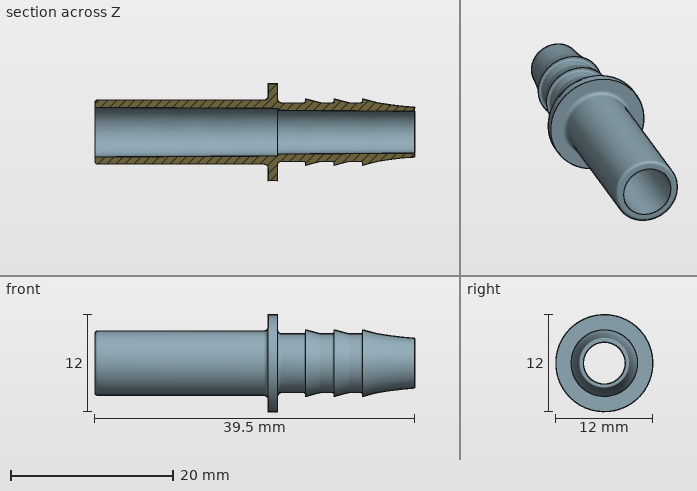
import cadquery as cq
import math

length = 39.5
flange_start = 21.35
flange_width = 1.2
flange_end = flange_start + flange_width

tube_radius = 4.0
flange_radius = 6.0
neck_radius = 3.65
barb_radius = 4.1
nose_radius = 3.1

barb_count = 3
first_barb = 26.0
barb_pitch = 3.5
barb_length = 1.9
barb_land = 0.1
ramp_sag = 0.02
nose_sag = 0.06

tube_end_fillet = 0.4
flange_fillet = 0.47
barb_root_fillet = 0.2
nose_fillet = 0.1

tube_bore_mouth_radius = 3.05
tube_bore_inner_radius = 2.92
barb_bore_inner_radius = 2.7
barb_bore_mouth_radius = 2.55
bore_step = flange_end


def quarter_round(outline, centre, radius, start_angle, end_angle):
    """Extend the outline to an arc around centre, then along it; angles in degrees."""
    def on_arc(angle):
        turn = math.radians(angle)
        return (centre[0] + radius * math.cos(turn), centre[1] + radius * math.sin(turn))

    middle = on_arc((start_angle + end_angle) / 2)
    return outline.lineTo(*on_arc(start_angle)).threePointArc(middle, on_arc(end_angle))


def hollow_ramp(outline, start, end, sag):
    """Extend the outline from start to end along an arc dipping by sag at mid-length."""
    middle = ((start[0] + end[0]) / 2, (start[1] + end[1]) / 2 - sag)
    return outline.threePointArc(middle, end)


def add_barb(outline, start):
    """Rounded root, steep face towards the flange, crest land and ramp back to the neck."""
    root_centre = (start - barb_root_fillet, neck_radius + barb_root_fillet)
    crest_end = (start + barb_land, barb_radius)
    outline = quarter_round(outline, root_centre, barb_root_fillet, -90, 0)
    outline = outline.lineTo(start, barb_radius).lineTo(*crest_end)
    return hollow_ramp(outline, crest_end, (start + barb_length, neck_radius), ramp_sag)


def make_body():
    """Solid of revolution: tube, flange, neck, barbs and tapered nose."""
    outline = cq.Workplane("XY").moveTo(0, 0)
    end_centre = (tube_end_fillet, tube_radius - tube_end_fillet)
    outline = quarter_round(outline, end_centre, tube_end_fillet, 180, 90)

    front_centre = (flange_start - flange_fillet, tube_radius + flange_fillet)
    outline = quarter_round(outline, front_centre, flange_fillet, -90, 0)
    outline = outline.lineTo(flange_start, flange_radius).lineTo(flange_end, flange_radius)
    back_centre = (flange_end + flange_fillet, neck_radius + flange_fillet)
    outline = quarter_round(outline, back_centre, flange_fillet, 180, 270)

    for index in range(barb_count):
        outline = add_barb(outline, first_barb + index * barb_pitch)

    nose_start = (first_barb + (barb_count - 1) * barb_pitch + barb_length, neck_radius)
    outline = hollow_ramp(outline, nose_start, (length, nose_radius), nose_sag)
    body = outline.lineTo(length, 0).close().revolve(360, (0, 0), (1, 0))
    return body.faces(">X").edges().fillet(nose_fillet)


def make_bore():
    """Through passage, tapering towards the barbed end."""
    return (
        cq.Workplane("XY")
        .moveTo(0, 0)
        .lineTo(0, tube_bore_mouth_radius)
        .lineTo(bore_step, tube_bore_inner_radius)
        .lineTo(bore_step, barb_bore_inner_radius)
        .lineTo(length, barb_bore_mouth_radius)
        .lineTo(length, 0)
        .close()
        .revolve(360, (0, 0), (1, 0))
    )


result = make_body().cut(make_bore())